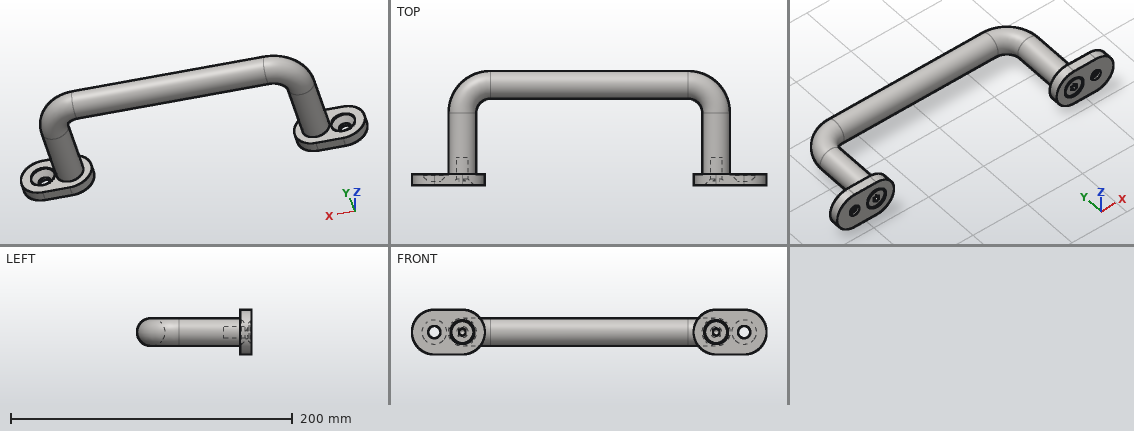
import cadquery as cq
import math

OVERALL_LENGTH = 252.0
OVERALL_DEPTH = 81.5

FLANGE_WIDTH = 32.0
FLANGE_THICKNESS = 8.0
HOLE_SPACING = 20.0
FLANGE_LENGTH = FLANGE_WIDTH + HOLE_SPACING
MOUNTING_HOLE_DIAMETER = 8.5
MOUNTING_COUNTERSINK_DIAMETER = 17.5
MOUNTING_BORE_DEPTH = 1.0

BAR_DIAMETER = 20.0
BEND_RADIUS = 20.0
LEG_X = OVERALL_LENGTH / 2 - FLANGE_WIDTH / 2 - HOLE_SPACING
GRIP_Y = OVERALL_DEPTH - BAR_DIAMETER / 2

SCREW_HEAD_DIAMETER = 15.5
SCREW_COUNTERSINK_DIAMETER = 17.1
SCREW_SHANK_DIAMETER = 8.0
SCREW_LENGTH = 20.0
SOCKET_WIDTH = 4.8
SOCKET_DEPTH = 3.0
SOCKET_SIDES = 6
SOCKET_TURN = 180.0 / SOCKET_SIDES
SOCKET_TIP_ANGLE = 120.0

SCREW_RIM_HEIGHT = (SCREW_COUNTERSINK_DIAMETER - SCREW_HEAD_DIAMETER) / 2
SCREW_HEAD_HEIGHT = (SCREW_COUNTERSINK_DIAMETER - SCREW_SHANK_DIAMETER) / 2
MOUNTING_COUNTERSINK_DEPTH = (MOUNTING_COUNTERSINK_DIAMETER - MOUNTING_HOLE_DIAMETER) / 2

SIDES = (-1, 1)
ALONG_Y = cq.Vector(0, 1, 0)


def cylinder(x, start_y, end_y, diameter):
    """Round cylinder parallel to Y at height Z = 0."""
    solid = cq.Solid.makeCylinder(diameter / 2, end_y - start_y, cq.Vector(x, start_y, 0), ALONG_Y)
    return cq.Workplane(obj=solid)


def cone(x, start_y, end_y, start_diameter, end_diameter):
    """Cone parallel to Y at height Z = 0."""
    solid = cq.Solid.makeCone(
        start_diameter / 2, end_diameter / 2, end_y - start_y, cq.Vector(x, start_y, 0), ALONG_Y
    )
    return cq.Workplane(obj=solid)


def make_bar():
    """U-shaped bar that stands on both flanges, with a blind hole for a screw in each leg."""
    bend_start_y = GRIP_Y - BEND_RADIUS
    grip_end_x = LEG_X - BEND_RADIUS
    centre_line = (
        cq.Workplane("XY")
        .moveTo(-LEG_X, FLANGE_THICKNESS)
        .lineTo(-LEG_X, bend_start_y)
        .radiusArc((-grip_end_x, GRIP_Y), BEND_RADIUS)
        .lineTo(grip_end_x, GRIP_Y)
        .radiusArc((LEG_X, bend_start_y), BEND_RADIUS)
        .lineTo(LEG_X, FLANGE_THICKNESS)
    )
    bar = (
        cq.Workplane("XZ", origin=(-LEG_X, FLANGE_THICKNESS, 0))
        .circle(BAR_DIAMETER / 2)
        .sweep(centre_line)
    )
    for side in SIDES:
        bar = bar.cut(cylinder(side * LEG_X, FLANGE_THICKNESS, SCREW_LENGTH, SCREW_SHANK_DIAMETER))
    return bar


def make_flange(side):
    """Rounded plate with a countersunk screw seat below the leg and a mounting hole further out."""
    leg_x = side * LEG_X
    mounting_x = side * (LEG_X + HOLE_SPACING)
    plate = (
        cq.Workplane("XZ", origin=((leg_x + mounting_x) / 2, 0, 0))
        .slot2D(FLANGE_LENGTH, FLANGE_WIDTH)
        .extrude(-FLANGE_THICKNESS)
    )

    plate = plate.cut(cylinder(leg_x, 0, FLANGE_THICKNESS, SCREW_SHANK_DIAMETER))
    plate = plate.cut(cone(leg_x, 0, SCREW_HEAD_HEIGHT, SCREW_COUNTERSINK_DIAMETER, SCREW_SHANK_DIAMETER))

    bore_y = FLANGE_THICKNESS - MOUNTING_BORE_DEPTH
    countersink_y = bore_y - MOUNTING_COUNTERSINK_DEPTH
    plate = plate.cut(cylinder(mounting_x, 0, FLANGE_THICKNESS, MOUNTING_HOLE_DIAMETER))
    plate = plate.cut(
        cone(mounting_x, countersink_y, bore_y, MOUNTING_HOLE_DIAMETER, MOUNTING_COUNTERSINK_DIAMETER)
    )
    return plate.cut(cylinder(mounting_x, bore_y, FLANGE_THICKNESS, MOUNTING_COUNTERSINK_DIAMETER))


def make_screw(side):
    """Countersunk screw, flush with the seating face, with a hexagon socket that ends in a cone.

    The cylindrical rim leaves a narrow groove between the head and the mouth of its seat.
    """
    x = side * LEG_X
    rim = cylinder(x, 0, SCREW_RIM_HEIGHT, SCREW_HEAD_DIAMETER)
    head = cone(x, SCREW_RIM_HEIGHT, SCREW_HEAD_HEIGHT, SCREW_HEAD_DIAMETER, SCREW_SHANK_DIAMETER)
    shank = cylinder(x, SCREW_HEAD_HEIGHT, SCREW_LENGTH, SCREW_SHANK_DIAMETER)

    corner_diameter = SOCKET_WIDTH / math.cos(math.pi / SOCKET_SIDES)
    socket = (
        cq.Workplane("XZ", origin=(x, 0, 0))
        .transformed(rotate=(0, 0, SOCKET_TURN))
        .polygon(SOCKET_SIDES, corner_diameter)
        .extrude(-SOCKET_DEPTH)
    )
    tip_length = SOCKET_WIDTH / 2 / math.tan(math.radians(SOCKET_TIP_ANGLE / 2))
    socket_tip = cone(x, SOCKET_DEPTH, SOCKET_DEPTH + tip_length, SOCKET_WIDTH, 0)
    return rim.union(head).union(shank).cut(socket).cut(socket_tip)


bar = make_bar()
flanges = [make_flange(side) for side in SIDES]
screws = [make_screw(side) for side in SIDES]

result = cq.Compound.makeCompound(
    [
        bar.val(),
        *[flange.val() for flange in flanges],
        *[screw.val() for screw in screws],
    ]
)